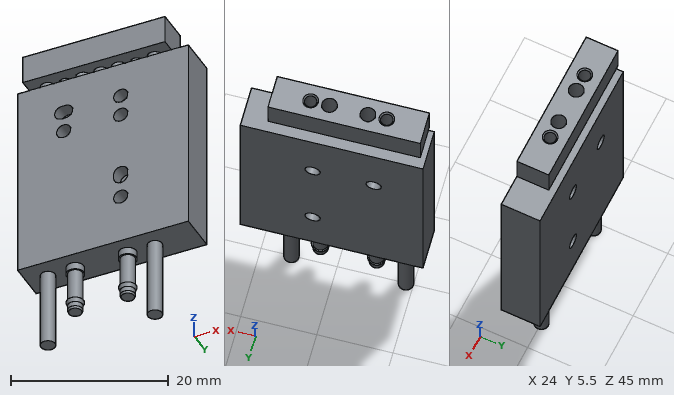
import cadquery as cq

HOUSING_X = 24.0
HOUSING_Y = 5.5
HOUSING_Z = 28.0

OVERALL_Z = 45.0
PLATE_X = 20.0
PLATE_Y = 4.5
PLATE_Z = 4.0
PLATE_GAP = 2.0
SLIDE_X = 10.5
ROD_D = 2.0
GUIDE_OFFSET = 7.5
PISTON_ROD_DEPTH = 9.0

plate_bottom = HOUSING_Z + PLATE_GAP
plate_top = plate_bottom + PLATE_Z
guide_bottom = plate_top - OVERALL_Z

PLATE_HOLE_D = 2.0
PLAIN_HOLE_OFFSET = 2.5
THREAD_HOLE_OFFSET = 5.0
THREAD_HOLE_D = 1.58
COUNTERSINK_DEPTH = (PLATE_HOLE_D - THREAD_HOLE_D) / 2

MOUNT_D = 2.0
LEFT_HOLE_X = 6.5
RIGHT_HOLE_X = LEFT_HOLE_X + 8.0
UPPER_LOCATOR_Z = HOUSING_Z - 5.0
UPPER_MOUNT_Z = UPPER_LOCATOR_Z - 3.0
LOWER_LOCATOR_Z = HOUSING_Z - 17.5
LOWER_MOUNT_Z = HOUSING_Z - 21.0
LOCATOR_DEPTH = 2.0
SLOT_LENGTH = 2.5

PORT_OFFSET = 3.7
PORT_STEM_R = 2.0 / 2
PORT_COLLAR_R = 2.4 / 2
COLLAR_LENGTH = 1.0
BARB_START = 5.5
BARB_END = 6.05
PORT_LENGTH = 7.0
TIP_CHAMFER_Z = 0.3
TIP_CHAMFER_R = 0.112


def z_cylinder(x, bottom, top, diameter):
    """Vertical cylinder on the mid-plane."""
    return cq.Workplane("XY", origin=(x, 0, bottom)).circle(diameter / 2).extrude(top - bottom)


def front_plane(x, z):
    """Plane on the front face, facing outwards, centred at x and z."""
    return cq.Workplane("XZ", origin=(x, -HOUSING_Y / 2, z))


def make_port(x):
    """Stepped hose port with a collar, a conical retaining barb and a chamfered tip."""
    profile = [
        (0, 0),
        (PORT_COLLAR_R, 0),
        (PORT_COLLAR_R, -COLLAR_LENGTH),
        (PORT_STEM_R, -COLLAR_LENGTH),
        (PORT_STEM_R, -BARB_START),
        (PORT_COLLAR_R, -BARB_START),
        (PORT_STEM_R, -BARB_END),
        (PORT_STEM_R, -PORT_LENGTH + TIP_CHAMFER_Z),
        (PORT_STEM_R - TIP_CHAMFER_R, -PORT_LENGTH),
        (0, -PORT_LENGTH),
    ]
    port = cq.Workplane("XZ").polyline(profile).close().revolve(360, (0, 0), (0, 1))
    return port.translate((x, 0, 0))


def make_rods():
    """Middle piston rod and the two guide rods that pass through the housing."""
    rods = z_cylinder(SLIDE_X, HOUSING_Z - PISTON_ROD_DEPTH, plate_bottom, ROD_D)
    for side in (-1, 1):
        rods = rods.add(z_cylinder(SLIDE_X + side * GUIDE_OFFSET, guide_bottom, plate_bottom, ROD_D))
    return rods


def make_housing():
    housing = cq.Workplane("XY").box(HOUSING_X, HOUSING_Y, HOUSING_Z, centered=(False, True, False))
    for side in (-1, 1):
        housing = housing.union(make_port(SLIDE_X + side * PORT_OFFSET))

    mounts = [
        (LEFT_HOLE_X, UPPER_MOUNT_Z),
        (RIGHT_HOLE_X, UPPER_MOUNT_Z),
        (RIGHT_HOLE_X, LOWER_MOUNT_Z),
    ]
    for x, z in mounts:
        housing = housing.cut(front_plane(x, z).circle(MOUNT_D / 2).extrude(-HOUSING_Y))

    locator = front_plane(RIGHT_HOLE_X, UPPER_LOCATOR_Z).circle(MOUNT_D / 2)
    housing = housing.cut(locator.extrude(-LOCATOR_DEPTH))
    slots = [(LEFT_HOLE_X, UPPER_LOCATOR_Z, 0), (RIGHT_HOLE_X, LOWER_LOCATOR_Z, 90)]
    for x, z, angle in slots:
        slot = front_plane(x, z).slot2D(SLOT_LENGTH, MOUNT_D, angle)
        housing = housing.cut(slot.extrude(-LOCATOR_DEPTH))

    for rod in make_rods().vals():
        housing = housing.cut(cq.Workplane(rod))
    return housing


def make_slide():
    plate = cq.Workplane("XY", origin=(SLIDE_X, 0, plate_bottom))
    slide = plate.box(PLATE_X, PLATE_Y, PLATE_Z, centered=(True, True, False))

    for side in (-1, 1):
        plain_x = SLIDE_X + side * PLAIN_HOLE_OFFSET
        thread_x = SLIDE_X + side * THREAD_HOLE_OFFSET
        slide = slide.cut(z_cylinder(plain_x, plate_bottom, plate_top, PLATE_HOLE_D))
        slide = slide.cut(z_cylinder(thread_x, plate_bottom, plate_top, THREAD_HOLE_D))
        countersink = cq.Solid.makeCone(
            PLATE_HOLE_D / 2,
            THREAD_HOLE_D / 2,
            COUNTERSINK_DEPTH,
            pnt=cq.Vector(thread_x, 0, plate_top),
            dir=cq.Vector(0, 0, -1),
        )
        slide = slide.cut(cq.Workplane(countersink))

    for rod in make_rods().vals():
        slide = slide.union(cq.Workplane(rod))
    return slide


housing = make_housing()
slide = make_slide()

result = cq.Compound.makeCompound([housing.val(), slide.val()])